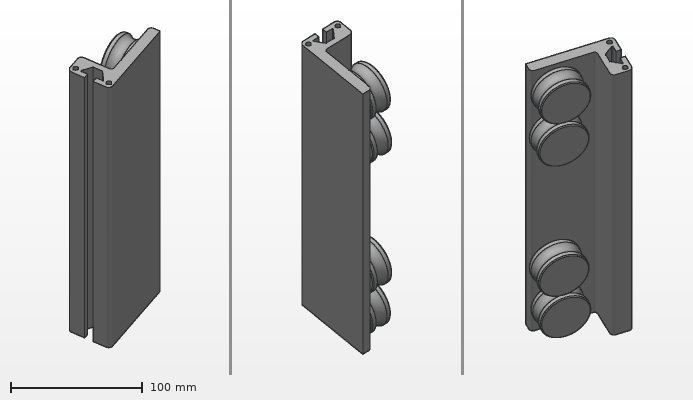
import cadquery as cq

rail_length = 280.0
rail_width = 38.0
rail_depth = 72.8
web_thickness = 9.2
flange_thickness = 18.2
web_tip_radius = 3.5
inner_radius = 2.5
flange_corner_radius = 3.5
front_corner_radius = 3.5

slot_neck_width = 7.5
slot_lip = 4.5
slot_wide_width = 19.5
slot_side_height = 1.0
slot_floor_width = 8.5
slot_depth = 13.2

bore_diameter = 4.2
bore_inset = 4.2
bore_y = 5.0

wheel_diameter = 42.0
wheel_width = 19.3
wheel_edge_chamfer = 0.8
groove_width = 11.0
groove_depth = 2.2
outer_wheel_y = 51.8
inner_wheel_y = 53.2
outer_wheel_end_distance = 25.0
inner_wheel_end_distance = 70.0

web_face_x = rail_width - web_thickness
slot_center_x = rail_width / 2


def make_slot():
    """T-slot cutter with sloping shoulders, open at the front face."""
    neck = slot_neck_width / 2
    wide = slot_wide_width / 2
    floor = slot_floor_width / 2
    shoulder_y = slot_lip + slot_side_height
    right_side = [
        (neck, 0),
        (neck, slot_lip),
        (wide, slot_lip),
        (wide, shoulder_y),
        (floor, slot_depth),
    ]
    left_side = [(-x, y) for x, y in reversed(right_side)]
    outline = cq.Workplane("XY").center(slot_center_x, 0).polyline(right_side + left_side).close()
    return outline.extrude(rail_length)


def fillet_edge_at(body, x, y, radius):
    """Round the lengthwise edge that passes through (x, y)."""
    return body.edges(cq.NearestToPointSelector((x, y, rail_length / 2))).fillet(radius)


def make_rail():
    """L-shaped rail with rounded corners, a T-slot and two lengthwise bores."""
    outline = [
        (0, 0),
        (rail_width, 0),
        (rail_width, rail_depth),
        (web_face_x, rail_depth),
        (web_face_x, flange_thickness),
        (0, flange_thickness),
    ]
    rail = cq.Workplane("XY").polyline(outline).close().extrude(rail_length)
    rail = fillet_edge_at(rail, 0, 0, front_corner_radius)
    rail = fillet_edge_at(rail, rail_width, 0, front_corner_radius)
    rail = fillet_edge_at(rail, web_face_x, rail_depth, web_tip_radius)
    rail = fillet_edge_at(rail, web_face_x, flange_thickness, inner_radius)
    rail = fillet_edge_at(rail, 0, flange_thickness, flange_corner_radius)

    bore_centers = [(bore_inset, bore_y), (rail_width - bore_inset, bore_y)]
    bores = cq.Workplane("XY").pushPoints(bore_centers).circle(bore_diameter / 2).extrude(rail_length)
    return rail.cut(make_slot()).cut(bores)


def make_wheel(y, z):
    """Wheel with a round-bottomed rim groove, axis along X, seated on the web."""
    radius = wheel_diameter / 2
    face_radius = radius - wheel_edge_chamfer
    groove_start = (wheel_width - groove_width) / 2
    groove_end = groove_start + groove_width
    profile = (
        cq.Workplane("XY")
        .lineTo(0, face_radius)
        .lineTo(wheel_edge_chamfer, radius)
        .lineTo(groove_start, radius)
        .threePointArc((wheel_width / 2, radius - groove_depth), (groove_end, radius))
        .lineTo(wheel_width - wheel_edge_chamfer, radius)
        .lineTo(wheel_width, face_radius)
        .lineTo(wheel_width, 0)
        .close()
    )
    wheel = profile.revolve(360, (0, 0, 0), (1, 0, 0))
    return wheel.translate((web_face_x - wheel_width, y, z))


wheel_centers = [
    (outer_wheel_y, outer_wheel_end_distance),
    (inner_wheel_y, inner_wheel_end_distance),
    (inner_wheel_y, rail_length - inner_wheel_end_distance),
    (outer_wheel_y, rail_length - outer_wheel_end_distance),
]

rail = make_rail()
wheels = [make_wheel(y, z) for y, z in wheel_centers]

result = cq.Compound.makeCompound([rail.val(), *[wheel.val() for wheel in wheels]])